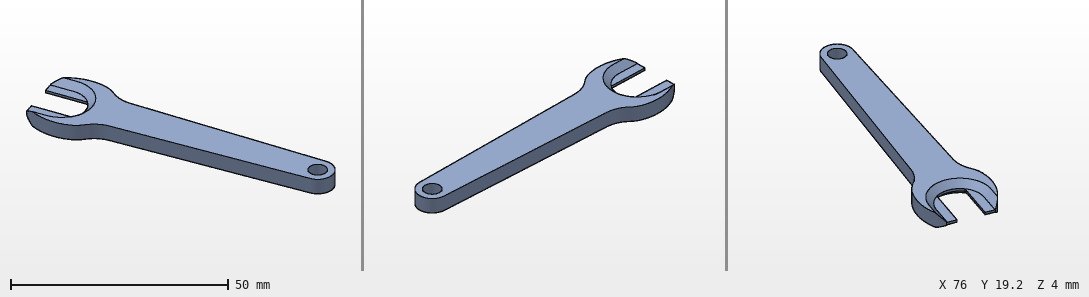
import cadquery as cq
import math

length = 76.0
thickness = 4.0
head_width = 19.15

tip_half_width = 6.2
head_widest_x = 8.9
shoulder_x = 12.9
neck_x = 15.65
neck_half_width = 7.41

handle_start_x = 20.75
handle_start_half_width = 5.3
handle_end_radius = 4.0
hole_diameter = 4.5

jaw_center_x = 5.9
web_thickness = 0.7
recess_floor_radius = 6.1
recess_rim_radius = 7.9
slot_half_width = 3.6

hole_x = length - handle_end_radius
head_half_width = head_width / 2
recess_depth = (thickness - web_thickness) / 2
open_end_x = -3.8

head_rise = head_half_width - tip_half_width
head_radius = (head_widest_x**2 + head_rise**2) / (2 * head_rise)
head_arc_center_y = head_half_width - head_radius
shoulder_half_width = head_arc_center_y + math.sqrt(head_radius**2 - (shoulder_x - head_widest_x) ** 2)

edge_dx = hole_x - handle_start_x
edge_distance = math.hypot(edge_dx, handle_start_half_width)
edge_normal_angle = math.atan2(handle_start_half_width, -edge_dx) - math.acos(
    handle_end_radius / edge_distance
)
handle_tangent_x = hole_x + handle_end_radius * math.cos(edge_normal_angle)
handle_tangent_y = handle_end_radius * math.sin(edge_normal_angle)


def half_body():
    """Half of the wrench blank on the +Y side, centered in Z."""
    return (
        cq.Workplane("XY")
        .workplane(offset=-thickness / 2)
        .moveTo(0, 0)
        .lineTo(0, tip_half_width)
        .threePointArc((head_widest_x, head_half_width), (shoulder_x, shoulder_half_width))
        .tangentArcPoint((neck_x, neck_half_width), relative=False)
        .tangentArcPoint((handle_start_x, handle_start_half_width), relative=False)
        .lineTo(handle_tangent_x, handle_tangent_y)
        .tangentArcPoint((length, 0), relative=False)
        .close()
        .extrude(thickness)
    )


def jaw_prism(radius, height, taper=0):
    """U-shaped solid open toward -X, standing on Z = 0."""
    return (
        cq.Workplane("XY")
        .moveTo(open_end_x, -radius)
        .lineTo(jaw_center_x, -radius)
        .threePointArc((jaw_center_x + radius, 0), (jaw_center_x, radius))
        .lineTo(open_end_x, radius)
        .close()
        .extrude(height, taper=taper)
    )


def recess():
    """Tapered recess above the web, widening toward the top face."""
    flare = math.degrees(math.atan((recess_rim_radius - recess_floor_radius) / recess_depth))
    return jaw_prism(recess_floor_radius, recess_depth, -flare).translate((0, 0, web_thickness / 2))


def slot():
    """Through slot whose inner end follows the rounded recess floor."""
    slot_length = length / 2
    strip = cq.Workplane("XY").box(slot_length, 2 * slot_half_width, thickness)
    return jaw_prism(recess_floor_radius, thickness).translate((0, 0, -thickness / 2)).intersect(strip)


body = half_body()
body = body.union(body.mirror("XZ"))
upper_recess = recess()
hole = cq.Workplane("XY").center(hole_x, 0).circle(hole_diameter / 2).extrude(thickness, both=True)

result = body.cut(upper_recess).cut(upper_recess.mirror("XY")).cut(slot()).cut(hole)